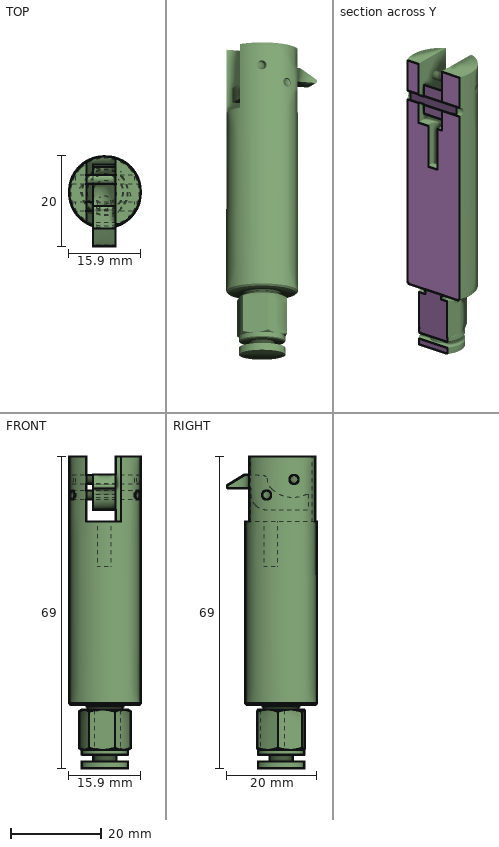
import cadquery as cq
import math


housing_dia = 15.9
housing_radius = housing_dia / 2
housing_length = 55.0
housing_bottom_chamfer = 0.4

slot_left = -4.1
slot_right = 2.35
slot_depth = 14.4
slot_floor = housing_length - slot_depth
relief_right = 3.65
relief_y = -7.1

pin_dia = 2.0
pin_radius = pin_dia / 2
pin_length = 13.0
pivot_y = -3.2
pivot_z = housing_length - 8.55
stop_y = 2.85
stop_z = housing_length - 5.1
pin_places = [(pivot_y, pivot_z), (stop_y, stop_z)]

latch_width = 5.0
latch_left = slot_right - latch_width
latch_top = housing_length - 4.0
heel_drop = 0.3
heel_top = latch_top - heel_drop
hub_radius = 3.5
hub_front_y = pivot_y - hub_radius
latch_bottom = housing_length - 11.85
hub_center_z = latch_bottom + hub_radius
nose_tip_y = -12.0
nose_top_y = -8.0
nose_bottom = housing_length - 7.1
tip_top = housing_length - 6.25
tip_bulge = 0.3
tip_start_y = nose_tip_y + tip_bulge
tip_mid_z = (tip_top + nose_bottom) / 2
tail_end_y = 6.1
tail_corner_y = 5.6
valley_radius = 6.7
valley_center_y = 2.6
valley_center_z = housing_length - 2.4
valley_edge_y = -3.05
valley_lip_radius = 0.9
tail_lip_radius = 0.3

bore_radius = 1.5
bore_x = latch_left + latch_width / 2
bore_y = -2.3
bore_depth = 10.0

collar_radius = 4.1
collar_bottom = -0.35
neck_radius = 3.9
hex_top = -1.0
hex_bottom = -9.95
hex_across_flats = 10.0
hex_turn = -7.0
hex_corner_radius = hex_across_flats / math.sqrt(3)
hex_face_radius = hex_across_flats / 2
hex_chamfer_angle = 30.0
ring_radius = 5.15
ring_bottom = -11.1
ring_chamfer = 0.2
stem_radius = 2.6
sleeve_top = -12.45
fitting_bottom = -14.0


def cylinder(radius, bottom, top):
    return cq.Workplane("XY").workplane(offset=bottom).circle(radius).extrude(top - bottom)


def box_between(x_min, x_max, y_min, y_max, z_min, z_max):
    size = (x_max - x_min, y_max - y_min, z_max - z_min)
    return cq.Workplane("XY").box(*size, centered=False).translate((x_min, y_min, z_min))


def cross_rod(place, length):
    """Rod of the pin diameter along X, centred on the plane X = 0."""
    y, z = place
    return cq.Workplane("YZ", origin=(-length / 2, y, z)).circle(pin_radius).extrude(length)


def make_housing():
    body = cylinder(housing_radius, 0, housing_length).faces("<Z").chamfer(housing_bottom_chamfer)
    slot = box_between(slot_left, slot_right, -housing_radius, housing_radius, slot_floor, housing_length)
    relief = box_between(slot_left, relief_right, -housing_radius, relief_y, slot_floor, housing_length)
    body = body.cut(slot).cut(relief)
    for place in pin_places:
        body = body.cut(cross_rod(place, housing_dia))
    bore = cylinder(bore_radius, slot_floor - bore_depth, slot_floor).translate((bore_x, bore_y, 0))
    return body.cut(bore)


def valley_height(y):
    """Height of the hollow in the top of the latch tail at a given Y."""
    return valley_center_z - math.sqrt(valley_radius**2 - (y - valley_center_y)**2)


def make_latch():
    valley_edge_z = valley_height(valley_edge_y)
    tail_corner_z = valley_height(tail_corner_y)
    valley_bottom = (valley_center_y, valley_center_z - valley_radius)
    hub_mid = (pivot_y - hub_radius / math.sqrt(2), hub_center_z - hub_radius / math.sqrt(2))
    profile = (
        cq.Workplane("YZ", origin=(latch_left, 0, 0))
        .moveTo(tip_start_y, nose_bottom)
        .threePointArc((nose_tip_y, tip_mid_z), (tip_start_y, tip_top))
        .lineTo(nose_top_y, latch_top)
        .lineTo(valley_edge_y, heel_top)
        .lineTo(valley_edge_y, valley_edge_z)
        .threePointArc(valley_bottom, (tail_corner_y, tail_corner_z))
        .lineTo(tail_end_y, tail_corner_z)
        .lineTo(tail_end_y, latch_bottom)
        .lineTo(pivot_y, latch_bottom)
        .threePointArc(hub_mid, (hub_front_y, hub_center_z))
        .lineTo(hub_front_y, nose_bottom)
        .close()
    )
    latch = profile.extrude(latch_width)

    def edge_at(y, z):
        return cq.selectors.NearestToPointSelector((latch_left + latch_width / 2, y, z))

    latch = latch.edges(edge_at(valley_edge_y, heel_top)).fillet(valley_lip_radius)
    latch = latch.edges(edge_at(tail_end_y, tail_corner_z)).fillet(tail_lip_radius)
    return latch.cut(cross_rod((pivot_y, pivot_z), housing_dia))


def make_hexagon():
    height = hex_top - hex_bottom
    prism = (
        cq.Workplane("XY")
        .workplane(offset=hex_bottom)
        .polygon(6, 2 * hex_corner_radius)
        .extrude(height)
        .rotate((0, 0, 0), (0, 0, 1), hex_turn)
    )
    chamfer_width = hex_corner_radius - hex_face_radius
    chamfer_height = chamfer_width * math.tan(math.radians(hex_chamfer_angle))
    envelope = cylinder(hex_corner_radius, hex_bottom, hex_top)
    envelope = envelope.faces("<Z or >Z").chamfer(chamfer_height, chamfer_width)
    return prism.intersect(envelope)


def make_fitting():
    fitting = make_hexagon()
    ring = cylinder(ring_radius, ring_bottom, hex_bottom).faces("<Z").chamfer(ring_chamfer)
    steps = [
        cylinder(collar_radius, collar_bottom, 0),
        cylinder(neck_radius, hex_top, collar_bottom),
        ring,
        cylinder(stem_radius, sleeve_top, ring_bottom),
        cylinder(ring_radius, fitting_bottom, sleeve_top),
    ]
    for step in steps:
        fitting = fitting.union(step)
    return fitting


housing = make_housing()
latch = make_latch()
pins = [cross_rod(place, pin_length) for place in pin_places]
fitting = make_fitting()

result = cq.Compound.makeCompound(
    [housing.val(), latch.val(), *[pin.val() for pin in pins], fitting.val()]
)